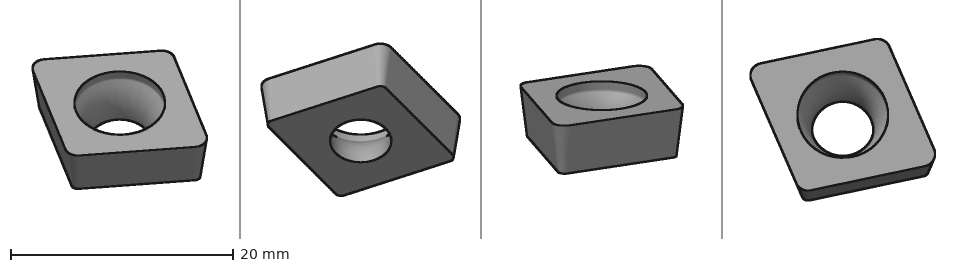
import cadquery as cq
import math

LENGTH = 14.68
WIDTH = 12.7
THICKNESS = 4.75
ACUTE_ANGLE = math.radians(80)
CLEARANCE_DEGREES = 7

HOLE_DIAMETER = 5.5
SEAT_DIAMETER = 8.15
FUNNEL_RADIUS = 4.77
STRAIGHT_HOLE_HEIGHT = 0.55
SEAT_BLEND_RADIUS = 0.35

side = WIDTH / math.sin(ACUTE_ANGLE)
lean = side * math.cos(ACUTE_ANGLE)
sharp_length = side + lean
shortening_per_radius = 2 * (1 / math.tan(ACUTE_ANGLE / 2) - 1)
corner_radius = (sharp_length - LENGTH) / shortening_per_radius


def insert_body():
    """Rounded rhombus narrowing downward from the top face at Z = 0."""
    right = sharp_length / 2
    half_width = WIDTH / 2
    corners = [
        (-right, -half_width),
        (right - lean, -half_width),
        (right, half_width),
        (-right + lean, half_width),
    ]
    prism = cq.Workplane("XY").polyline(corners).close().extrude(-THICKNESS)
    outline = prism.edges("|Z").fillet(corner_radius).faces(">Z").wires()
    return outline.toPending().workplane().extrude(-THICKNESS, combine=False, taper=CLEARANCE_DEGREES)


def screw_hole():
    """Revolved cutter: straight bore, blend, convex funnel and plain hole."""
    hole_radius = HOLE_DIAMETER / 2
    seat_radius = SEAT_DIAMETER / 2
    funnel_x = hole_radius + FUNNEL_RADIUS
    funnel_z = STRAIGHT_HOLE_HEIGHT - THICKNESS

    blend_x = seat_radius - SEAT_BLEND_RADIUS
    centre_distance = FUNNEL_RADIUS + SEAT_BLEND_RADIUS
    tangent_angle = math.acos((funnel_x - blend_x) / centre_distance)
    blend_z = funnel_z + centre_distance * math.sin(tangent_angle)

    def blend_point(angle):
        return (
            blend_x + SEAT_BLEND_RADIUS * math.cos(angle),
            blend_z - SEAT_BLEND_RADIUS * math.sin(angle),
        )

    def funnel_point(angle):
        return (
            funnel_x - FUNNEL_RADIUS * math.cos(angle),
            funnel_z + FUNNEL_RADIUS * math.sin(angle),
        )

    profile = (
        cq.Workplane("XZ")
        .lineTo(seat_radius, 0)
        .lineTo(seat_radius, blend_z)
        .threePointArc(blend_point(tangent_angle / 2), blend_point(tangent_angle))
        .threePointArc(funnel_point(tangent_angle / 2), funnel_point(0))
        .lineTo(hole_radius, -THICKNESS)
        .lineTo(0, -THICKNESS)
        .close()
    )
    return profile.revolve(360, (0, 0, 0), (0, 1, 0))


result = insert_body().cut(screw_hole())